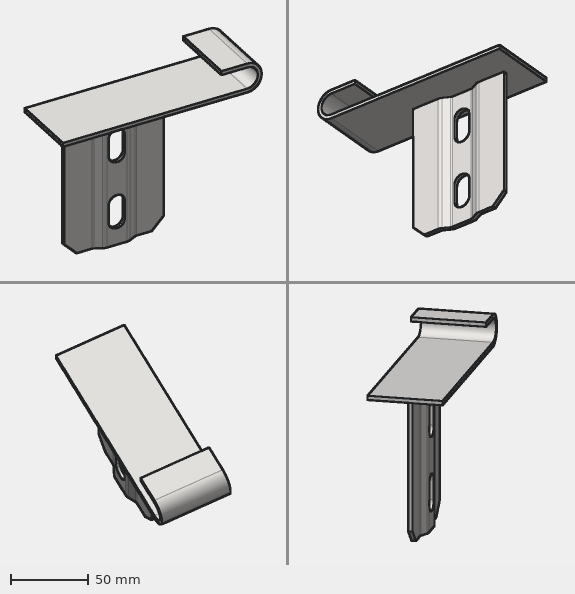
import cadquery as cq
import math

strap_length = 148.0
strap_width = 50.0
hook_height = 21.9
hook_lip_length = 19.1
sheet = 3.0

web_height = 100.0
web_width = 74.0
web_front_gap = 14.5
corner_chamfer = 9.0
channel_outer_half = 16.6
channel_depth = 3.5
bend_angle = math.radians(27)
bend_inner_radius = 3.0

slot_length = 25.0
slot_width = 12.0
slot_pitch = web_height / 2

strap_front = -strap_length / 2
hook_outer_radius = hook_height / 2
hook_inner_radius = hook_outer_radius - sheet
hook_start = strap_length / 2 - hook_outer_radius
lip_end = hook_start - hook_lip_length
web_center_y = strap_front + web_front_gap + web_width / 2
bend_outer_radius = bend_inner_radius + sheet


def make_strap():
    """Strip and hook, drawn in the YZ plane and extruded across X."""
    return (
        cq.Workplane("YZ")
        .moveTo(strap_front, 0)
        .lineTo(hook_start, 0)
        .threePointArc((hook_start + hook_outer_radius, hook_outer_radius), (hook_start, hook_height))
        .lineTo(lip_end, hook_height)
        .lineTo(lip_end, hook_height - sheet)
        .lineTo(hook_start, hook_height - sheet)
        .threePointArc((hook_start + hook_inner_radius, hook_outer_radius), (hook_start, sheet))
        .lineTo(strap_front, sheet)
        .close()
        .extrude(strap_width / 2, both=True)
    )


def bend_point(center, radius, angle):
    """Point on a bend arc; angle 0 points along +X and grows toward +Y."""
    return (center[0] + radius * math.cos(angle), center[1] + radius * math.sin(angle))


def make_web_half():
    """Half of the channel section on the +Y side, extruded down from the strap."""
    flange_front = -sheet / 2
    floor_front = flange_front + channel_depth
    bend_radii = bend_inner_radius + bend_outer_radius
    slope_run = (channel_depth - bend_radii * (1 - math.cos(bend_angle))) / math.tan(bend_angle)
    channel_inner_half = channel_outer_half - bend_radii * math.sin(bend_angle) - slope_run

    floor_bend = (floor_front - bend_inner_radius, channel_inner_half)
    flange_bend = (flange_front + bend_outer_radius, channel_outer_half)
    floor_middle = bend_angle / 2
    flange_start = math.pi + bend_angle
    flange_middle = math.pi + bend_angle / 2

    return (
        cq.Workplane("XY")
        .moveTo(floor_front, 0)
        .lineTo(floor_front, channel_inner_half)
        .threePointArc(
            bend_point(floor_bend, bend_inner_radius, floor_middle),
            bend_point(floor_bend, bend_inner_radius, bend_angle),
        )
        .lineTo(*bend_point(flange_bend, bend_outer_radius, flange_start))
        .threePointArc(
            bend_point(flange_bend, bend_outer_radius, flange_middle),
            (flange_front, channel_outer_half),
        )
        .lineTo(flange_front, web_width / 2)
        .lineTo(flange_front + sheet, web_width / 2)
        .lineTo(flange_front + sheet, channel_outer_half)
        .threePointArc(
            bend_point(flange_bend, bend_inner_radius, flange_middle),
            bend_point(flange_bend, bend_inner_radius, flange_start),
        )
        .lineTo(*bend_point(floor_bend, bend_outer_radius, bend_angle))
        .threePointArc(
            bend_point(floor_bend, bend_outer_radius, floor_middle),
            (floor_front + sheet, channel_inner_half),
        )
        .lineTo(floor_front + sheet, 0)
        .close()
        .extrude(-web_height)
    )


def make_web():
    """Full web with chamfered lower corners and two slots."""
    half = make_web_half()
    web = half.union(half.mirror("XZ")).clean()
    web = web.faces("<Y or >Y").edges("<Z").chamfer(corner_chamfer)
    slots = (
        cq.Workplane("YZ")
        .center(0, -web_height / 2)
        .rarray(1.5, slot_pitch, 1, 2)
        .slot2D(slot_length, slot_width, 90)
        .extrude(strap_width / 2, both=True)
    )
    return web.cut(slots).translate((0, web_center_y, 0))


strap = make_strap()
web = make_web()

result = cq.Compound.makeCompound([strap.val(), web.val()])